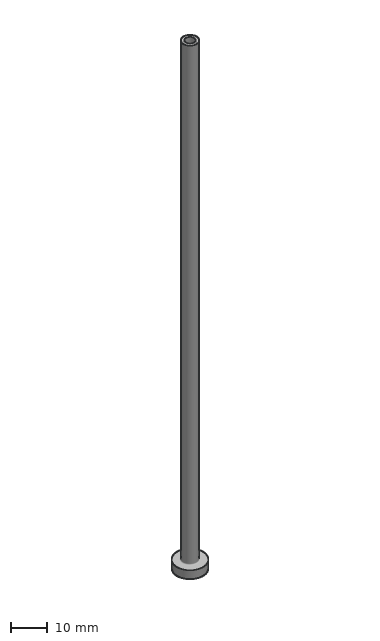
import cadquery as cq

total_length = 178.0
head_diameter = 10.0
head_height = 3.0
shaft_diameter = 5.0
bore_diameter = 3.0
neck_fillet_radius = 0.4

head = cq.Workplane("XY").circle(head_diameter / 2).extrude(head_height)
shaft = cq.Workplane("XY").circle(shaft_diameter / 2).extrude(total_length)
body = head.union(shaft)

neck_edge = cq.selectors.RadiusNthSelector(0)
body = body.faces("<Z[1]").edges(neck_edge).fillet(neck_fillet_radius)

bore = cq.Workplane("XY").circle(bore_diameter / 2).extrude(total_length)
result = body.cut(bore)